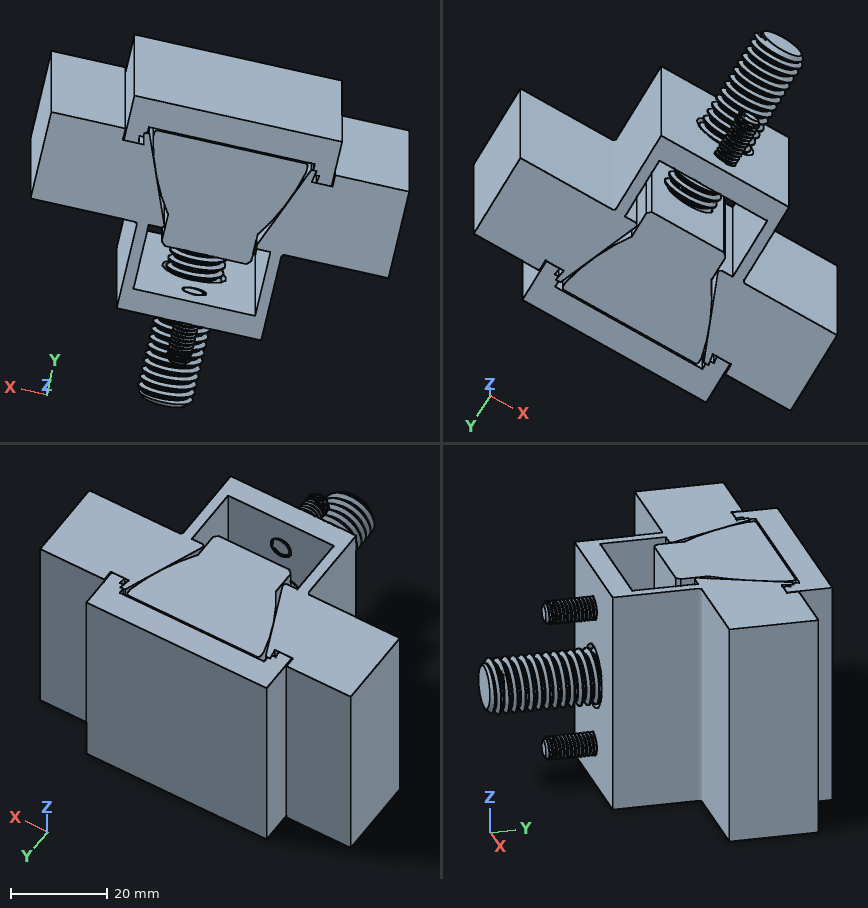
import cadquery as cq
import math

LENGTH = 47.8

rail_half_width = 38.1
flange_front_y = -19.1
slot_half_rear = 17.2
slot_half_front = 9.5
corner_radius = 0.6
channel_half_outer = 15.4
channel_half_inner = 12.95
web_inner_y = -33.2
web_outer_y = -38.1
recess_floor_y = -2.5
recess_half_outer = 22.3
lip_half_rear = 18.4
lip_half_root = 17.9

cap_half_width = 22.1
cap_rear_y = 7.3
cap_ceiling_y = 1.4
cap_half_inner = 17.7
hook_y = -0.9
leg_half_top = 19.1
leg_half_foot = 18.9

wedge_rear_y = 1.1
wedge_half_rear = 16.3
wedge_shoulder_y = -0.7
wedge_half_front = 9.5
wedge_neck_y = -16.1
wedge_front_y = -22.8
wedge_rear_radius = 0.6
wedge_front_chamfer = 0.85
flank_clearance = 0.04

bolt_diameter = 12.0
bolt_pitch = 1.75
bolt_tip_y = -61.6
bolt_start_angle = 25
bolt_hole_diameter = 13.5
screw_diameter = 5.0
screw_pitch = 0.8
screw_tip_y = -48.8
screw_z = 15.25
THREAD_DEPTH_RATIO = 0.613
CREST_RATIO = 0.125
THREAD_EMBED_RATIO = 0.05
TIP_INSET = 0.3
ENVELOPE_MARGIN = 0.3


def extrude_profile(sketch):
    """Extrude an XY outline along Z, centred on Z = 0."""
    return sketch.close().extrude(LENGTH / 2, both=True)


def mirrored_outline(right_half):
    """Straight-sided XY outline symmetric about X = 0."""
    left_half = [(-x, y) for x, y in reversed(right_half)]
    return cq.Workplane("XY").polyline(right_half + left_half)


def slot_half_at(y):
    return slot_half_rear + (slot_half_front - slot_half_rear) * y / flange_front_y


def lip_half_at(y):
    return lip_half_rear + (lip_half_root - lip_half_rear) * y / recess_floor_y


def y_cylinder(diameter, y_front, y_rear, z):
    disc = cq.Workplane("XZ", origin=(0, y_rear, z)).circle(diameter / 2)
    return disc.extrude(y_rear - y_front)


def make_rail():
    """Open section: the V slot leads into the channel cavity."""
    right_half = [
        (channel_half_outer, web_outer_y),
        (channel_half_outer, flange_front_y),
        (rail_half_width, flange_front_y),
        (rail_half_width, 0),
        (recess_half_outer, 0),
        (recess_half_outer, recess_floor_y),
        (lip_half_root, recess_floor_y),
        (lip_half_rear, 0),
        (slot_half_rear, 0),
        (slot_half_front, flange_front_y),
        (channel_half_inner, flange_front_y),
        (channel_half_inner, web_inner_y),
    ]
    rail = extrude_profile(mirrored_outline(right_half))
    for half in (channel_half_outer, slot_half_front):
        for side in (-1, 1):
            corner = cq.selectors.NearestToPointSelector((side * half, flange_front_y, 0))
            rail = rail.edges("|Z").edges(corner).fillet(corner_radius)
    rail = rail.cut(y_cylinder(bolt_hole_diameter, web_outer_y, web_inner_y, 0))
    for z in (-screw_z, screw_z):
        rail = rail.cut(y_cylinder(screw_diameter, web_outer_y, web_inner_y, z))
    return rail


def make_cap():
    """Shallow channel whose legs snap over the rail lips."""
    right_half = [
        (cap_half_width, cap_rear_y),
        (cap_half_width, recess_floor_y),
        (leg_half_foot, recess_floor_y),
        (leg_half_top, hook_y),
        (lip_half_at(hook_y), hook_y),
        (lip_half_rear, 0),
        (cap_half_inner, 0),
        (cap_half_inner, cap_ceiling_y),
    ]
    return extrude_profile(mirrored_outline(right_half))


def flank_midpoint():
    """Point on the slot flank, less a clearance, level with the middle of the wedge flank."""
    y = (wedge_shoulder_y + wedge_neck_y) / 2
    return slot_half_at(y) - flank_clearance, y


def make_wedge():
    """Wedge with convex flanks that bear on the slot."""
    mid_x, mid_y = flank_midpoint()
    outline = (
        cq.Workplane("XY")
        .moveTo(-wedge_half_rear, wedge_rear_y)
        .lineTo(wedge_half_rear, wedge_rear_y)
        .lineTo(wedge_half_rear, wedge_shoulder_y)
        .threePointArc((mid_x, mid_y), (wedge_half_front, wedge_neck_y))
        .lineTo(wedge_half_front, wedge_front_y)
        .lineTo(-wedge_half_front, wedge_front_y)
        .lineTo(-wedge_half_front, wedge_neck_y)
        .threePointArc((-mid_x, mid_y), (-wedge_half_rear, wedge_shoulder_y))
    )
    wedge = extrude_profile(outline)
    wedge = wedge.edges("|Z and >Y").fillet(wedge_rear_radius)
    return wedge.edges("|Z and <Y").chamfer(wedge_front_chamfer)


def make_thread_ridge(major_radius, core_radius, pitch, length):
    """Helical 60-degree ridge along Z, its base sunk into the core and its ends past 0 and length."""
    half_crest = CREST_RATIO * pitch / 2
    base_radius = core_radius - THREAD_EMBED_RATIO * pitch
    half_base = half_crest + (major_radius - base_radius) * math.tan(math.radians(30))
    helix = cq.Wire.makeHelix(pitch, length + 2 * pitch, core_radius)
    profile = cq.Workplane("XZ").polyline([
        (base_radius, -half_base),
        (major_radius, -half_crest),
        (major_radius, half_crest),
        (base_radius, half_base),
    ]).close()
    ridge = profile.sweep(cq.Workplane(obj=helix), isFrenet=True)
    return ridge.translate((0, 0, -pitch))


def make_rod_envelope(major_radius, tip_radius, length):
    """Solid of revolution with flat ends and a 45-degree tip, slightly wider than the thread."""
    outer_radius = major_radius + ENVELOPE_MARGIN
    return (
        cq.Workplane("XZ")
        .polyline([
            (0, 0),
            (outer_radius, 0),
            (outer_radius, length + tip_radius - outer_radius),
            (tip_radius, length),
            (0, length),
        ])
        .close()
        .revolve()
    )


def make_threaded_rod(diameter, pitch, y_rear, y_tip, start_angle):
    """Right-hand threaded rod on the Y axis, its chamfered tip toward -Y."""
    length = y_rear - y_tip
    major_radius = diameter / 2
    core_radius = major_radius - THREAD_DEPTH_RATIO * pitch
    core = cq.Workplane("XY").circle(core_radius).extrude(length).faces(">Z").chamfer(TIP_INSET)
    envelope = make_rod_envelope(major_radius, core_radius - TIP_INSET, length)
    ridge = make_thread_ridge(major_radius, core_radius, pitch, length)
    rod = core.union(ridge.intersect(envelope, clean=False), clean=False)
    rod = rod.rotate((0, 0, 0), (0, 0, 1), start_angle)
    return rod.rotate((0, 0, 0), (1, 0, 0), 90).translate((0, y_rear, 0))


rail = make_rail()
cap = make_cap()
wedge = make_wedge()
bolt = make_threaded_rod(bolt_diameter, bolt_pitch, wedge_front_y, bolt_tip_y, bolt_start_angle)
screw = make_threaded_rod(screw_diameter, screw_pitch, web_inner_y, screw_tip_y, 0)
screws = [screw.translate((0, 0, z)) for z in (-screw_z, screw_z)]

result = cq.Compound.makeCompound(
    [rail.val(), cap.val(), wedge.val(), bolt.val(), *[screw.val() for screw in screws]]
)